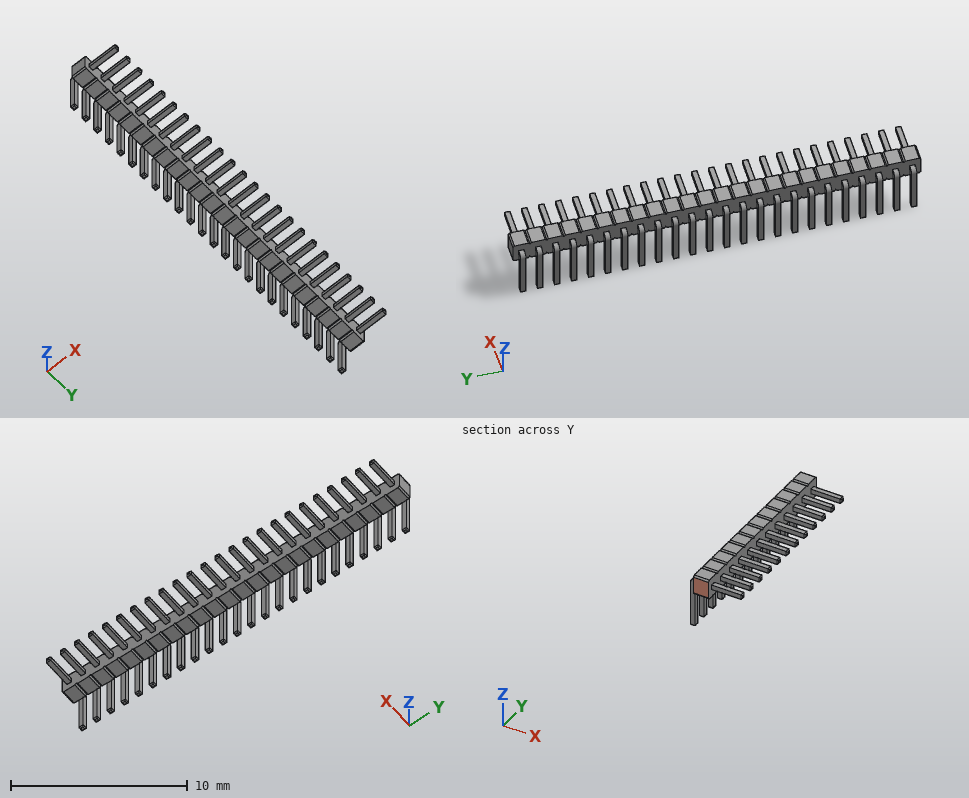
import cadquery as cq


pin_count = 24
row_length = 24.0
pitch = row_length / pin_count

body_depth = pitch
body_height = 1.3
body_chamfer = 0.1

pin_width = 0.3
tip_chamfer = 0.07
bend_radius = pin_width

overall_x = 3.4
overall_z = 3.77
tail_offset = 0.4

tail_x = -tail_offset
pin_end_x = tail_x + overall_x
tail_bottom_z = body_height - overall_z
pin_top_z = (body_height + pin_width) / 2
pin_bottom_z = pin_top_z - pin_width


def body_block(y_center):
    """Block around one pin, chamfered along its four edges parallel to X."""
    block = cq.Workplane("XY").box(body_depth, pitch, body_height, centered=(False, True, False))
    return block.edges("|X").chamfer(body_chamfer).translate((0, y_center, 0))


def bent_pin(y_center):
    """L-shaped square pin with a rounded outer bend and chamfered tips."""
    outline = (
        cq.Workplane("XZ")
        .moveTo(tail_x, tail_bottom_z)
        .lineTo(tail_x, pin_top_z - bend_radius)
        .radiusArc((tail_x + bend_radius, pin_top_z), bend_radius)
        .lineTo(pin_end_x, pin_top_z)
        .lineTo(pin_end_x, pin_bottom_z)
        .lineTo(tail_x + pin_width, pin_bottom_z)
        .lineTo(tail_x + pin_width, tail_bottom_z)
        .close()
    )
    pin = outline.extrude(pin_width / 2, both=True)
    pin = pin.faces(">X").chamfer(tip_chamfer)
    pin = pin.faces("<Z").chamfer(tip_chamfer)
    return pin.translate((0, y_center, 0))


pin_positions = [(i - (pin_count - 1) / 2) * pitch for i in range(pin_count)]

header = body_block(pin_positions[0])
for y in pin_positions[1:]:
    header = header.union(body_block(y))
for y in pin_positions:
    header = header.union(bent_pin(y))

result = header.clean()